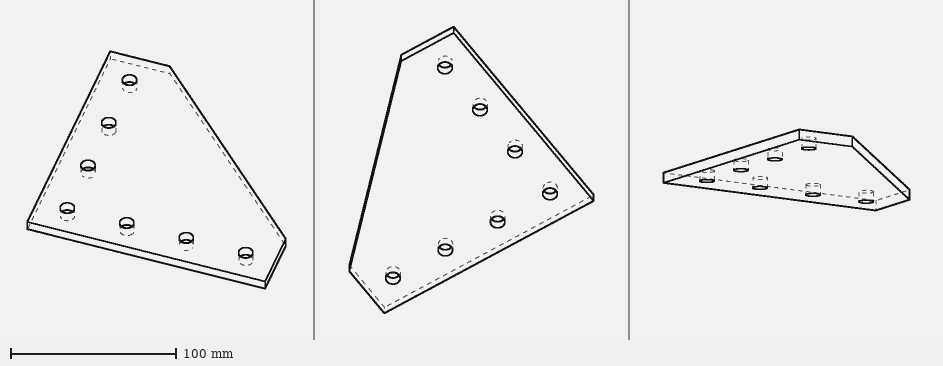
import cadquery as cq

hole_pitch = 38.1
holes_per_leg = 4
thickness = 6.35
hole_diameter = 8.73

leg_length = holes_per_leg * hole_pitch
leg_width = hole_pitch
edge_distance = hole_pitch / 2


def make_plate():
    """Right-angle gusset plate with a sloped edge joining the two leg ends."""
    outline = [
        (0, 0),
        (leg_length, 0),
        (leg_length, leg_width),
        (leg_width, leg_length),
        (0, leg_length),
    ]
    return cq.Workplane("XY").polyline(outline).close().extrude(thickness)


def hole_centres():
    """Holes along both legs, sharing the one at the corner."""
    offsets = [edge_distance + i * hole_pitch for i in range(holes_per_leg)]
    along_x = [(offset, edge_distance) for offset in offsets]
    along_y = [(edge_distance, offset) for offset in offsets[1:]]
    return along_x + along_y


def make_hole_pins():
    """Cylinders through the full thickness, one per bolt hole."""
    return cq.Workplane("XY").pushPoints(hole_centres()).circle(hole_diameter / 2).extrude(thickness)


result = make_plate().cut(make_hole_pins())